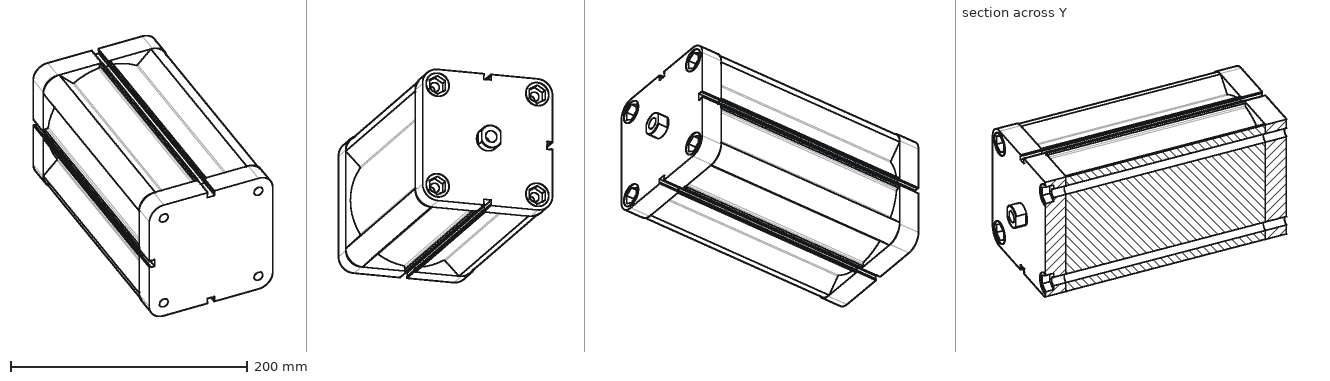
import cadquery as cq
import math


overall_length = 237.0
side = 116.0
half_side = side / 2
rod_projection = 10.0
cap_thickness = 20.0
barrel_length = overall_length - rod_projection - 2 * cap_thickness
rear_cap_start = cap_thickness + barrel_length

corner_radius = 13.5
bolt_offset = half_side - corner_radius
bolt_positions = [(y, z) for y in (-bolt_offset, bolt_offset) for z in (-bolt_offset, bolt_offset)]
bolt_hole_diameter = 8.0
hex_across_flats = 14.0
hex_across_corners = hex_across_flats / math.cos(math.radians(30))
hex_depth = 8.0
counterbore_diameter = 20.5
counterbore_depth = 0.7

slot_angles = (0, 90, 180)
slot_depth = 5.0
slot_bottom = half_side - slot_depth
slot_width = 6.9
slot_lip = 1.5
cap_slot_opening = 6.0
barrel_slot_opening = 5.0

tube_radius = 53.8
post_corner_radius = 15.2
post_width = 21.0
rail_width = 11.0
rail_chamfer = 1.2
foot_fillet = 1.2
tolerance = 0.02

rod_diameter = 20.0
rod_across_flats = 16.8
rod_flat_length = 9.2
rod_chamfer = 0.5
rod_hole_diameter = 10.0
rod_hole_depth = 20.0
drill_point_angle = 118
rod_length = rod_projection + cap_thickness


def section_plane(x):
    """Sketch plane across the axis: local x is Y, local y is Z, normal is +X."""
    return cq.Workplane("YZ", origin=(x, 0, 0))


def rounded_square(x, length, radius):
    return (
        section_plane(x)
        .rect(side, side)
        .extrude(length)
        .edges("|X")
        .fillet(radius)
    )


def around_axis(shape, angle):
    return shape.rotate((0, 0, 0), (1, 0, 0), angle)


def make_groove(x, length, width, top):
    """Bar on the top side, from the slot floor up to the height `top` above the axis."""
    return (
        section_plane(x)
        .center(0, (slot_bottom + top) / 2)
        .rect(width, top - slot_bottom)
        .extrude(length)
    )


def cut_sensor_slots(body, x, length, opening_width):
    """Cut the T-shaped sensor slots along a stretch of the axis."""
    opening = make_groove(x, length, opening_width, half_side)
    channel = make_groove(x, length, slot_width, half_side - slot_lip)
    slot = opening.union(channel)
    for angle in slot_angles:
        body = body.cut(around_axis(slot, angle))
    return body


def cut_bolt_holes(body, x, length):
    holes = section_plane(x).pushPoints(bolt_positions).circle(bolt_hole_diameter / 2).extrude(length)
    return body.cut(holes)


def make_cap(x):
    cap = rounded_square(x, cap_thickness, corner_radius)
    cap = cut_sensor_slots(cap, x, cap_thickness, cap_slot_opening)
    return cut_bolt_holes(cap, x, cap_thickness)


def make_front_cap():
    cap = make_cap(0)
    counterbores = (
        section_plane(0)
        .pushPoints(bolt_positions)
        .circle(counterbore_diameter / 2)
        .extrude(counterbore_depth)
    )
    hexagon = section_plane(0).polygon(6, hex_across_corners).extrude(hex_depth)
    hexagon = around_axis(hexagon, 90)
    for y, z in bolt_positions:
        cap = cap.cut(hexagon.translate((0, y, z)))
    rod_bore = section_plane(0).circle(rod_diameter / 2).extrude(cap_thickness)
    return cap.cut(counterbores).cut(rod_bore)


def make_rail():
    """Chamfered rail on the top side that carries a sensor slot."""
    return (
        section_plane(cap_thickness)
        .center(0, half_side / 2)
        .rect(rail_width, half_side)
        .extrude(barrel_length)
        .edges("|X and >Z")
        .chamfer(rail_chamfer)
    )


def is_foot_edge(edge):
    """True for the lengthwise edges where posts and rails meet the round tube."""
    center = edge.Center()
    on_tube = abs(math.hypot(center.y, center.z) - tube_radius) < tolerance
    on_seam = abs(center.z) < tolerance
    return on_tube and not on_seam


def make_barrel():
    barrel = section_plane(cap_thickness).circle(tube_radius).extrude(barrel_length)
    diagonal_strip = section_plane(cap_thickness).rect(post_width, 2 * side).extrude(barrel_length)
    outline = rounded_square(cap_thickness, barrel_length, post_corner_radius)
    for angle in (45, 135):
        barrel = barrel.union(around_axis(diagonal_strip, angle).intersect(outline))
    for angle in slot_angles:
        barrel = barrel.union(around_axis(make_rail(), angle))
    foot_edges = [edge for edge in barrel.edges("|X").vals() if is_foot_edge(edge)]
    barrel = barrel.newObject(foot_edges).fillet(foot_fillet)
    barrel = cut_sensor_slots(barrel, cap_thickness, barrel_length, barrel_slot_opening)
    return cut_bolt_holes(barrel, cap_thickness, barrel_length)


def make_rod():
    rod = (
        section_plane(-rod_projection)
        .circle(rod_diameter / 2)
        .extrude(rod_length)
        .faces("<X")
        .chamfer(rod_chamfer)
    )
    flat_depth = (rod_diameter - rod_across_flats) / 2
    flat_center = (rod_across_flats + flat_depth) / 2
    flats = (
        section_plane(-rod_projection)
        .pushPoints([(-flat_center, 0), (flat_center, 0)])
        .rect(flat_depth, rod_diameter)
        .extrude(rod_flat_length)
    )
    hole_radius = rod_hole_diameter / 2
    point_length = hole_radius / math.tan(math.radians(drill_point_angle / 2))
    hole_bottom = rod_hole_depth - rod_projection
    hole = (
        cq.Workplane("XY")
        .moveTo(-rod_projection, 0)
        .lineTo(-rod_projection, hole_radius)
        .lineTo(hole_bottom, hole_radius)
        .lineTo(hole_bottom + point_length, 0)
        .close()
        .revolve(360, (0, 0, 0), (1, 0, 0))
    )
    return rod.cut(flats).cut(hole)


front_cap = make_front_cap()
barrel = make_barrel()
rear_cap = make_cap(rear_cap_start)
rod = make_rod()

result = cq.Compound.makeCompound([front_cap.val(), barrel.val(), rear_cap.val(), rod.val()])